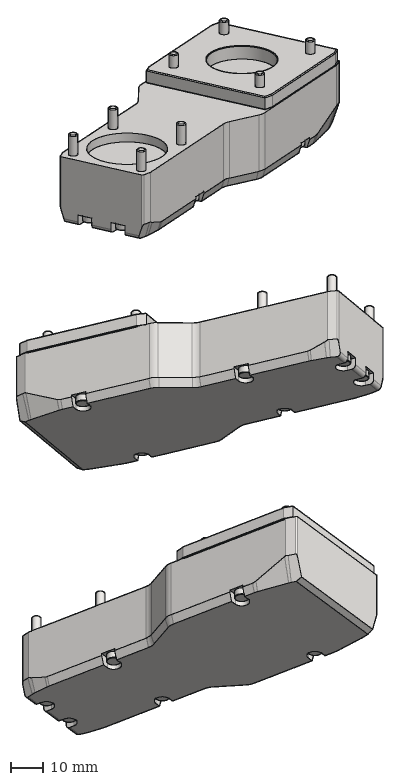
import cadquery as cq
import math


housing_height = 22.0
length = 110.0
back_y = 23.6
front_y = back_y - length
wide_half = 44.5 / 2
neck_half = 31.6 / 2
taper_start_y = -25.3
taper_end_y = -36.8
taper_blend = 5.3
front_corner_inset = 0.9
back_corner_inset = 1.0
front_corner_length = 3.2
back_corner_length = 3.6
corner_blend = 0.5

band_height = 3.0
band_inset = 1.0
band_slope = band_inset / band_height
band_blend = 7.7
front_knee_length = 3.8
back_knee_length = 4.0
foot_height = 8.8
back_rise = 8.2
back_rise_length = 15.7
front_rise = 5.3
front_rise_length = 9.9
back_bevel_length = 2.0
back_bevel_height = 1.0
front_bottom_radius = 1.3

neck_middle_y = (front_y + front_rise_length + taper_end_y) / 2
wide_middle_y = (back_y - back_rise_length + taper_start_y) / 2

plate_side = 2 * wide_half
plate_height = 4.5
plate_corner_inset = 0.9
plate_corner_length = 3.0
plate_edge = 0.3
large_bore_edge = 0.2
large_bore_diameter = 22.0

small_bore_y = -70.5
small_bore_diameter = 25.1
small_bore_depth = 3.0

pin_diameter = 3.0
pin_edge = 0.3
large_pin_pitch = 31.0
large_pin_height = 4.5
small_pin_pitch = 24.5
small_pin_height = 6.9

notch_width = 5.0
notch_depth = 3.6
screw_diameter = 4.5
screw_end_diameter = 4.2
screw_recess = 1.3
screw_setback = 0.7
front_screw_x = 5.9
side_screws = [(1.1, wide_half), (-52.7, neck_half)]


def mirrored_outline(right_side):
    """Closed outline from its +X half, listed from front to back."""
    left_side = [(-x, y) for x, y in reversed(right_side)]
    return cq.Workplane("XY").polyline(right_side + left_side).close()


def zone_between(low_y, high_y):
    """Selector for edges centred between two places along the length."""
    return cq.selectors.BoxSelector((-length, low_y, 0), (length, high_y, housing_height))


def wall_prism():
    """Housing block with upright side walls and softened lower end edges."""
    right_side = [
        (neck_half - front_corner_inset, front_y),
        (neck_half, front_y + front_corner_length),
        (neck_half, taper_end_y),
        (wide_half, taper_start_y),
        (wide_half, back_y - back_corner_length),
        (wide_half - back_corner_inset, back_y),
    ]
    prism = mirrored_outline(right_side).extrude(housing_height)
    prism = prism.edges("|Z").edges(zone_between(neck_middle_y, wide_middle_y)).fillet(taper_blend)
    prism = prism.edges("|Z and (<Y or >Y)").fillet(corner_blend)
    bevel = (
        cq.Workplane("YZ")
        .moveTo(back_y, 0)
        .lineTo(back_y, back_bevel_height)
        .lineTo(back_y - back_bevel_length, 0)
        .close()
        .extrude(wide_half, both=True)
    )
    prism = prism.cut(bevel)
    return prism.faces("<Z").edges("<Y").fillet(front_bottom_radius)


def corner_band_inset(distance_from_end, rise, corner_inset, corner_length):
    """Inset, at the underside, of the band that follows a bevelled corner."""
    bevel_slope = corner_inset / corner_length
    bevel_inset = corner_inset - distance_from_end * bevel_slope
    return bevel_inset + rise * band_slope * math.hypot(1, bevel_slope)


def band_prism():
    """Foot outline growing upwards, whose sloped sides form the drafted band of the walls."""
    def front_inset(distance):
        return corner_band_inset(distance, front_rise, front_corner_inset, front_corner_length)

    def back_inset(distance):
        return corner_band_inset(distance, back_rise, back_corner_inset, back_corner_length)

    half_angle = math.atan2(wide_half - neck_half, taper_start_y - taper_end_y) / 2
    shift = band_inset * math.tan(half_angle)
    right_side = [
        (neck_half - front_inset(0), front_y),
        (neck_half - front_inset(front_knee_length), front_y + front_knee_length),
        (neck_half - band_inset, front_y + front_rise_length),
        (neck_half - band_inset, taper_end_y + shift),
        (wide_half - band_inset, taper_start_y + shift),
        (wide_half - band_inset, back_y - back_rise_length),
        (wide_half - back_inset(back_knee_length), back_y - back_knee_length),
        (wide_half - back_inset(0), back_y),
    ]

    foot = mirrored_outline(right_side).extrude(foot_height)
    foot = foot.edges("|Z").edges(zone_between(neck_middle_y, wide_middle_y)).fillet(taper_blend)
    for zone in (
        zone_between(front_y + front_knee_length / 2, neck_middle_y),
        zone_between(wide_middle_y, back_y - back_knee_length / 2),
    ):
        foot = foot.edges("|Z").edges(zone).fillet(band_blend)
    draft = math.degrees(math.atan(band_slope))
    band = foot.faces("<Z").wires().toPending().extrude(foot_height, combine=False, taper=-draft)
    above = cq.Workplane("XY", origin=(0, 0, foot_height)).rect(2 * length, 2 * length)
    return band.union(above.extrude(housing_height - foot_height))


def plate():
    """Square plate with bevelled corners, centred on the large bore."""
    half = plate_side / 2
    right_side = [
        (half - plate_corner_inset, -half),
        (half, -half + plate_corner_length),
        (half, half - plate_corner_length),
        (half - plate_corner_inset, half),
    ]
    block = mirrored_outline(right_side).extrude(plate_height)
    block = block.faces("<Z or >Z").chamfer(plate_edge)
    block = block.faces(">Z").workplane().hole(large_bore_diameter)
    block = block.faces(">Z").edges("%CIRCLE").chamfer(large_bore_edge)
    return block.translate((0, 0, housing_height))


def pins(center_y, pitch, base_z, height):
    """Four pins with bevelled tips on a square pattern."""
    base = cq.Workplane("XY", origin=(0, center_y, base_z))
    centers = base.rect(pitch, pitch, forConstruction=True).vertices()
    return centers.circle(pin_diameter / 2).extrude(height).faces(">Z").chamfer(pin_edge)


def add_screw(body, x, y, outward_angle):
    """Notch open to the wall at (x, y), with a recessed screw head inside."""
    center_offset = screw_setback + screw_diameter / 2
    notch = cq.Workplane("XY").circle(notch_width / 2).extrude(notch_depth)
    mouth = cq.Workplane("XY").rect(2 * center_offset, notch_width).extrude(notch_depth)
    notch = notch.union(mouth.translate((center_offset, 0, 0)))
    head = cq.Workplane("XY", origin=(0, 0, screw_recess)).circle(screw_diameter / 2)
    head = head.extrude(notch_depth - screw_recess)
    head = head.faces("<Z").chamfer((screw_diameter - screw_end_diameter) / 2)

    def place(shape):
        turned = shape.translate((-center_offset, 0, 0)).rotate((0, 0, 0), (0, 0, 1), outward_angle)
        return turned.translate((x, y, 0))

    return body.cut(place(notch)).union(place(head))


result = wall_prism().intersect(band_prism())
for side in (-1, 1):
    result = add_screw(result, side * front_screw_x, front_y, -90)
    for screw_y, wall_x in side_screws:
        result = add_screw(result, side * wall_x, screw_y, 0 if side > 0 else 180)

small_bore = cq.Workplane("XY").circle(small_bore_diameter / 2).extrude(small_bore_depth)
result = result.cut(small_bore.translate((0, small_bore_y, housing_height - small_bore_depth)))
result = result.union(plate())
result = result.union(pins(0, large_pin_pitch, housing_height + plate_height, large_pin_height))
result = result.union(pins(small_bore_y, small_pin_pitch, housing_height, small_pin_height))